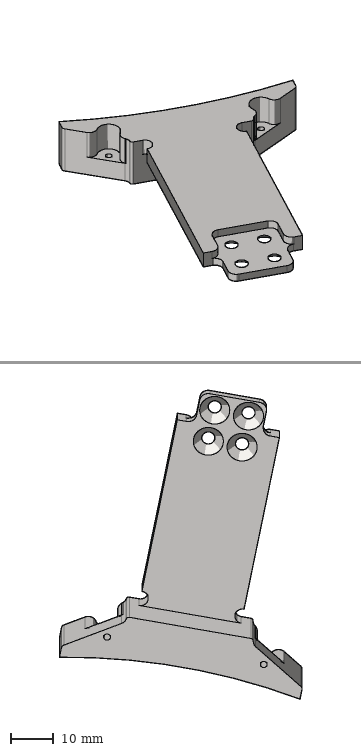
import cadquery as cq
import math

HEAD_HEIGHT = 12.0
ARM_THICKNESS = 4.0
TAB_THICKNESS = 2.0
ARM_BOTTOM = HEAD_HEIGHT - ARM_THICKNESS

HEAD_HALF_WIDTH = 28.5
FACE_SAGITTA = 2.85
HEAD_BACK = 13.0
TIP_CORNER_X = 2.95
TIP_ROUND = 1.0
SLANT_ANGLE = math.radians(57)
SHOULDER_INNER_Y = 15.25
SHOULDER_OUTER_Y = 14.9
SHOULDER_INNER_ROUND = 1.9
SHOULDER_OUTER_ROUND = 0.65

POCKET_DEPTH = 7.0
POCKET_X = 7.1
POCKET_Y = 18.55
POCKET_RADIUS = 2.8
SCREW_HOLE_DIAMETER = 1.57
POCKET_MOUTH_ROUND = (
    (TIP_CORNER_X - POCKET_X) * math.sin(SLANT_ANGLE)
    + (HEAD_HALF_WIDTH - POCKET_Y) * math.cos(SLANT_ANGLE)
)

ARM_HALF_WIDTH = 12.1
NOTCH_RADIUS = 1.8
NOTCH_X = HEAD_BACK + NOTCH_RADIUS

PART_LENGTH = 68.73
TAB_HALF_WIDTH = 7.9
TAB_CORNER_RADIUS = 2.0
RECESS_HALF_WIDTH = 8.0
RECESS_CORNER_RADIUS = 2.0
TAB_ROOT_RADIUS = 2.0
ARM_END = PART_LENGTH - TAB_HALF_WIDTH
RECESS_START = ARM_END - RECESS_HALF_WIDTH
TAB_HOLE_DIAMETER = 3.0
TAB_HOLE_PITCH = 8.0
COUNTERSINK_DIAMETER = TAB_HOLE_DIAMETER + 2 * TAB_THICKNESS


def both_sides(solid):
    """The solid joined by its mirror image across y = 0."""
    return solid.union(solid.mirror("XZ"))


def make_head():
    shoulder_x = TIP_CORNER_X + (HEAD_HALF_WIDTH - SHOULDER_INNER_Y) / math.tan(SLANT_ANGLE)
    head = (
        cq.Workplane("XY")
        .moveTo(0, HEAD_HALF_WIDTH)
        .lineTo(TIP_CORNER_X, HEAD_HALF_WIDTH)
        .lineTo(shoulder_x, SHOULDER_INNER_Y)
        .lineTo(HEAD_BACK, SHOULDER_OUTER_Y)
        .lineTo(HEAD_BACK, -SHOULDER_OUTER_Y)
        .lineTo(shoulder_x, -SHOULDER_INNER_Y)
        .lineTo(TIP_CORNER_X, -HEAD_HALF_WIDTH)
        .lineTo(0, -HEAD_HALF_WIDTH)
        .threePointArc((FACE_SAGITTA, 0), (0, HEAD_HALF_WIDTH))
        .close()
        .extrude(HEAD_HEIGHT)
    )
    rounded_corners = [
        (TIP_CORNER_X, HEAD_HALF_WIDTH, TIP_ROUND),
        (shoulder_x, SHOULDER_INNER_Y, SHOULDER_INNER_ROUND),
        (HEAD_BACK, SHOULDER_OUTER_Y, SHOULDER_OUTER_ROUND),
    ]
    for x, y, radius in rounded_corners:
        for side in (1, -1):
            corner = cq.selectors.NearestToPointSelector((x, side * y, HEAD_HEIGHT / 2))
            head = head.edges("|Z").edges(corner).fillet(radius)
    return head


def make_pocket():
    """Round pocket opening through the slanted edge, its mouth flared by two rounds."""
    along = (math.cos(SLANT_ANGLE), -math.sin(SLANT_ANGLE))
    outward = (math.sin(SLANT_ANGLE), math.cos(SLANT_ANGLE))

    def point(distance_along, distance_out):
        return (
            POCKET_X + distance_along * along[0] + distance_out * outward[0],
            POCKET_Y + distance_along * along[1] + distance_out * outward[1],
        )

    flare = POCKET_RADIUS + POCKET_MOUTH_ROUND
    diagonal = POCKET_MOUTH_ROUND * math.sqrt(0.5)
    pocket = (
        cq.Workplane("XY", origin=(0, 0, HEAD_HEIGHT - POCKET_DEPTH))
        .moveTo(*point(-flare, POCKET_MOUTH_ROUND))
        .threePointArc(point(diagonal - flare, diagonal), point(-POCKET_RADIUS, 0))
        .threePointArc(point(0, -POCKET_RADIUS), point(POCKET_RADIUS, 0))
        .threePointArc(point(flare - diagonal, diagonal), point(flare, POCKET_MOUTH_ROUND))
        .close()
        .extrude(POCKET_DEPTH)
    )
    screw_hole = cq.Workplane("XY").center(POCKET_X, POCKET_Y).circle(SCREW_HOLE_DIAMETER / 2)
    return pocket.union(screw_hole.extrude(HEAD_HEIGHT))


def make_arm():
    arm_start = HEAD_BACK / 2
    arm = (
        cq.Workplane("XY", origin=(0, 0, ARM_BOTTOM))
        .moveTo(arm_start, -ARM_HALF_WIDTH)
        .lineTo(ARM_END, -ARM_HALF_WIDTH)
        .lineTo(ARM_END, ARM_HALF_WIDTH)
        .lineTo(arm_start, ARM_HALF_WIDTH)
        .close()
        .extrude(ARM_THICKNESS)
    )
    notch = (
        cq.Workplane("XY", origin=(0, 0, ARM_BOTTOM))
        .center(NOTCH_X, ARM_HALF_WIDTH)
        .circle(NOTCH_RADIUS)
        .extrude(ARM_THICKNESS)
    )
    return arm.cut(both_sides(notch))


def make_recess():
    """Pocket above the tab, its side walls rounded over into the arm end."""
    flare_x = ARM_END - TAB_ROOT_RADIUS
    flare_y = RECESS_HALF_WIDTH + TAB_ROOT_RADIUS
    diagonal = TAB_ROOT_RADIUS * math.sqrt(0.5)
    recess = (
        cq.Workplane("XY", origin=(0, 0, ARM_BOTTOM + TAB_THICKNESS))
        .moveTo(RECESS_START, -RECESS_HALF_WIDTH)
        .lineTo(flare_x, -RECESS_HALF_WIDTH)
        .threePointArc((flare_x + diagonal, diagonal - flare_y), (ARM_END, -flare_y))
        .lineTo(ARM_END, flare_y)
        .threePointArc((flare_x + diagonal, flare_y - diagonal), (flare_x, RECESS_HALF_WIDTH))
        .lineTo(RECESS_START, RECESS_HALF_WIDTH)
        .close()
        .extrude(ARM_THICKNESS - TAB_THICKNESS)
    )
    return recess.edges("|Z and <X").fillet(RECESS_CORNER_RADIUS)


def make_tab():
    """Tab beyond the arm end, with concave rounds at its root."""
    root_x = ARM_END + TAB_ROOT_RADIUS
    root_y = TAB_HALF_WIDTH + TAB_ROOT_RADIUS
    diagonal = TAB_ROOT_RADIUS * math.sqrt(0.5)
    tab = (
        cq.Workplane("XY", origin=(0, 0, ARM_BOTTOM))
        .moveTo(ARM_END, -root_y)
        .threePointArc((root_x - diagonal, diagonal - root_y), (root_x, -TAB_HALF_WIDTH))
        .lineTo(PART_LENGTH, -TAB_HALF_WIDTH)
        .lineTo(PART_LENGTH, TAB_HALF_WIDTH)
        .lineTo(root_x, TAB_HALF_WIDTH)
        .threePointArc((root_x - diagonal, root_y - diagonal), (ARM_END, root_y))
        .close()
        .extrude(TAB_THICKNESS)
    )
    return tab.edges("|Z and >X").fillet(TAB_CORNER_RADIUS)


def make_tab_holes():
    """Four screw holes, each a countersink that narrows from the underside to the top of the tab."""
    countersink = cq.Solid.makeCone(COUNTERSINK_DIAMETER / 2, TAB_HOLE_DIAMETER / 2, TAB_THICKNESS)
    return (
        cq.Workplane("XY", origin=(ARM_END, 0, ARM_BOTTOM))
        .rarray(TAB_HOLE_PITCH, TAB_HOLE_PITCH, 2, 2)
        .eachpoint(lambda place: countersink.located(place), combine=False)
    )


result = (
    make_head()
    .cut(both_sides(make_pocket()))
    .union(make_arm())
    .cut(make_recess())
    .union(make_tab())
    .cut(make_tab_holes())
)